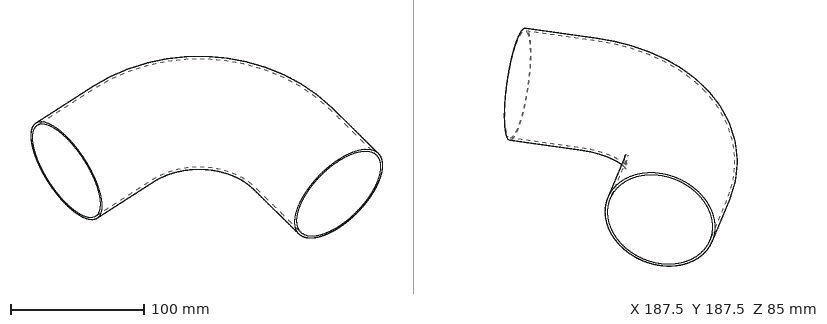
import cadquery as cq
import math

overall_length = 187.5
outer_diameter = 85.0
inner_diameter = 81.0
straight_length = 55.0

bend_radius = overall_length - outer_diameter / 2 - straight_length


def elbow_centreline():
    """Path from the -Y mouth at the origin, up along +Y and round to the +X mouth."""
    bend_start = (0, straight_length)
    diagonal = bend_radius * math.sqrt(0.5)
    bend_middle = (bend_radius - diagonal, straight_length + diagonal)
    bend_end = (bend_radius, straight_length + bend_radius)
    return (
        cq.Workplane("XY")
        .lineTo(*bend_start)
        .threePointArc(bend_middle, bend_end)
        .lineTo(bend_end[0] + straight_length, bend_end[1])
    )


result = (
    cq.Workplane("XZ")
    .circle(outer_diameter / 2)
    .circle(inner_diameter / 2)
    .sweep(elbow_centreline())
)